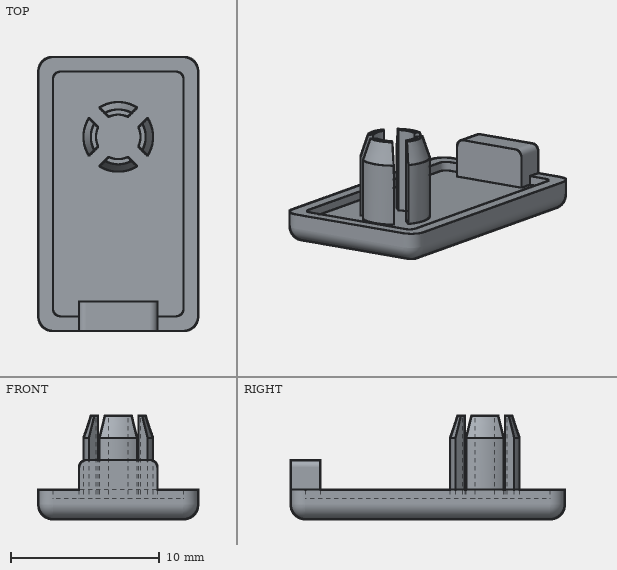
import cadquery as cq

PLATE_WIDTH = 10.8
PLATE_LENGTH = 18.5
PLATE_HEIGHT = 2.0
EDGE_RADIUS = 1.0

RIM_WIDTH = 1.0
RECESS_DEPTH = 0.6
RECESS_CORNER_RADIUS = 0.5
FLOOR_Z = PLATE_HEIGHT - RECESS_DEPTH

POST_TO_BACK_EDGE = 5.4
POST_CENTER_Y = PLATE_LENGTH / 2 - POST_TO_BACK_EDGE
POST_RADIUS = 2.35
POST_TIP_RADIUS = 1.85
POST_BORE_RADIUS = 1.5
POST_TOP_Z = 7.0
TAPER_HEIGHT = 1.5
SLOT_WIDTH = 1.0
SLOT_LENGTH = 2 * POST_RADIUS + SLOT_WIDTH
SLOT_ANGLES = (45, 135)

TAB_WIDTH = 5.3
TAB_THICKNESS = 2.0
TAB_TOP_Z = 4.0
TAB_CORNER_RADIUS = 0.5


def make_plate():
    """Plate with rounded corners and lower edge, recessed on top."""
    plate = (
        cq.Workplane("XY")
        .box(PLATE_WIDTH, PLATE_LENGTH, PLATE_HEIGHT, centered=(True, True, False))
        .edges("|Z")
        .fillet(EDGE_RADIUS)
        .faces("<Z")
        .edges()
        .fillet(EDGE_RADIUS)
    )
    recess = (
        cq.Workplane("XY", origin=(0, 0, FLOOR_Z))
        .rect(PLATE_WIDTH - 2 * RIM_WIDTH, PLATE_LENGTH - 2 * RIM_WIDTH)
        .extrude(RECESS_DEPTH)
        .edges("|Z")
        .fillet(RECESS_CORNER_RADIUS)
    )
    return plate.cut(recess)


def make_post():
    """Hollow post with a tapered tip, split into four prongs by diagonal slots."""
    post_height = POST_TOP_Z - FLOOR_Z
    post = (
        cq.Workplane("XZ")
        .moveTo(POST_BORE_RADIUS, 0)
        .lineTo(POST_RADIUS, 0)
        .lineTo(POST_RADIUS, post_height - TAPER_HEIGHT)
        .lineTo(POST_TIP_RADIUS, post_height)
        .lineTo(POST_BORE_RADIUS, post_height)
        .close()
        .revolve(360, (0, 0, 0), (0, 1, 0))
    )
    for angle in SLOT_ANGLES:
        slot = (
            cq.Workplane("XY")
            .box(SLOT_LENGTH, SLOT_WIDTH, post_height, centered=(True, True, False))
            .rotate((0, 0, 0), (0, 0, 1), angle)
        )
        post = post.cut(slot)
    return post.translate((0, POST_CENTER_Y, FLOOR_Z))


def make_tab():
    """Upright block, flush with the -Y side, with rounded upper corners."""
    tab_center_y = (TAB_THICKNESS - PLATE_LENGTH) / 2
    return (
        cq.Workplane("XY", origin=(0, tab_center_y, FLOOR_Z))
        .rect(TAB_WIDTH, TAB_THICKNESS)
        .extrude(TAB_TOP_Z - FLOOR_Z)
        .edges("|Y and >Z")
        .fillet(TAB_CORNER_RADIUS)
    )


result = make_plate().union(make_post()).union(make_tab())